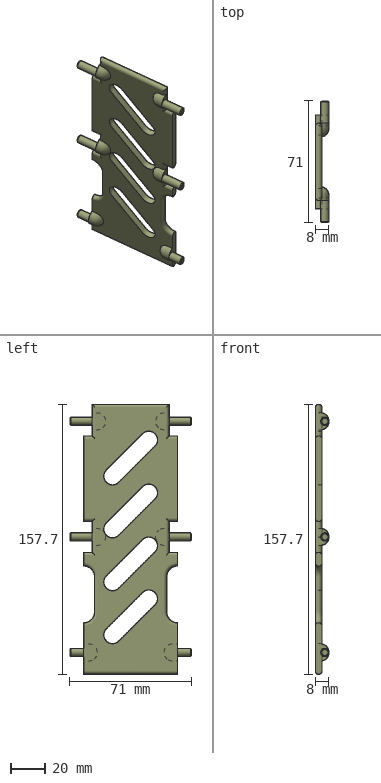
import cadquery as cq
import math

height = 157.7
thickness = 4.0
plate_half_width = 27.5
neck_half_width = 22.5
edge_radius = 1.9

top_notch_floor = 139.2
mid_notch_top = 89.3
mid_notch_floor = 71.3

recess_top = 63.2
recess_floor = 30.1
recess_depth = 6.3

slot_count = 4
slot_radius = 5.0
slot_run = 21.1
slot_pitch = 30.9
top_slot_z = 126.3

total_depth = 8.0
pin_diameter = 4.9
pin_tip_half_span = 35.5
pin_chamfer = 0.6
pin_pitch = 67.5
bottom_pin_z = 12.8
boss_radius = 5.0
boss_length = 3.0
pin_x = total_depth - pin_diameter / 2
boss_axis_x = total_depth - boss_radius


def make_plate():
    """Symmetric plate outline with rounded rims, except on its widest side faces."""
    recess_y = plate_half_width - recess_depth
    arc_offset = recess_depth * math.sqrt(0.5)
    arc_y = plate_half_width - arc_offset
    upper_center_z = recess_top - recess_depth
    lower_center_z = recess_floor + recess_depth
    half_plate = (
        cq.Workplane("YZ")
        .lineTo(plate_half_width, 0)
        .lineTo(plate_half_width, recess_floor)
        .threePointArc((arc_y, lower_center_z - arc_offset), (recess_y, lower_center_z))
        .lineTo(recess_y, upper_center_z)
        .threePointArc((arc_y, upper_center_z + arc_offset), (plate_half_width, recess_top))
        .lineTo(plate_half_width, mid_notch_floor)
        .lineTo(neck_half_width, mid_notch_floor)
        .lineTo(neck_half_width, mid_notch_top)
        .lineTo(plate_half_width, mid_notch_top)
        .lineTo(plate_half_width, top_notch_floor)
        .lineTo(neck_half_width, top_notch_floor)
        .lineTo(neck_half_width, height)
        .lineTo(0, height)
        .close()
        .extrude(thickness)
    )
    plate = half_plate.union(half_plate.mirror("XZ")).clean()
    inner_half_width = (plate_half_width + neck_half_width) / 2 + edge_radius
    inner_rims = cq.selectors.BoxSelector(
        (-thickness, -inner_half_width, -thickness),
        (2 * thickness, inner_half_width, height + thickness),
    )
    return plate.faces("<X or >X").edges(inner_rims).fillet(edge_radius)


def make_slots():
    """Row of slots at 45 degrees, rising toward -Y."""
    slot_length = slot_run * math.sqrt(2) + 2 * slot_radius
    centers = [(0, top_slot_z - i * slot_pitch) for i in range(slot_count)]
    return (
        cq.Workplane("YZ")
        .pushPoints(centers)
        .slot2D(slot_length, 2 * slot_radius, 135)
        .extrude(thickness)
    )


def make_pin(face_y, z):
    """Pin on the +Y side, with a boss that ends in a spherical back inside the plate width."""
    boss_back_y = face_y - boss_length
    boss_tip_y = boss_back_y - boss_radius
    dome_offset = boss_radius * math.sqrt(0.5)
    rounded_boss = (
        cq.Workplane("XY", origin=(boss_axis_x, 0, z))
        .moveTo(0, boss_tip_y)
        .threePointArc((dome_offset, boss_back_y - dome_offset), (boss_radius, boss_back_y))
        .lineTo(boss_radius, face_y)
        .lineTo(0, face_y)
        .close()
        .revolve(360, (0, 0), (0, 1))
    )
    keep_depth = total_depth - thickness / 2
    keep = (
        cq.Workplane("XY")
        .box(keep_depth, boss_length + boss_radius, 2 * boss_radius, centered=False)
        .translate((thickness / 2, boss_tip_y, z - boss_radius))
    )
    pin = (
        cq.Workplane("XZ", origin=(pin_x, boss_back_y, z))
        .circle(pin_diameter / 2)
        .extrude(boss_back_y - pin_tip_half_span)
        .faces(">Y")
        .chamfer(pin_chamfer)
    )
    return rounded_boss.intersect(keep).union(pin)


result = make_plate()
for level, face_y in enumerate((plate_half_width, neck_half_width, neck_half_width)):
    pin = make_pin(face_y, bottom_pin_z + level * pin_pitch)
    result = result.union(pin).union(pin.mirror("XZ"))
result = result.cut(make_slots())